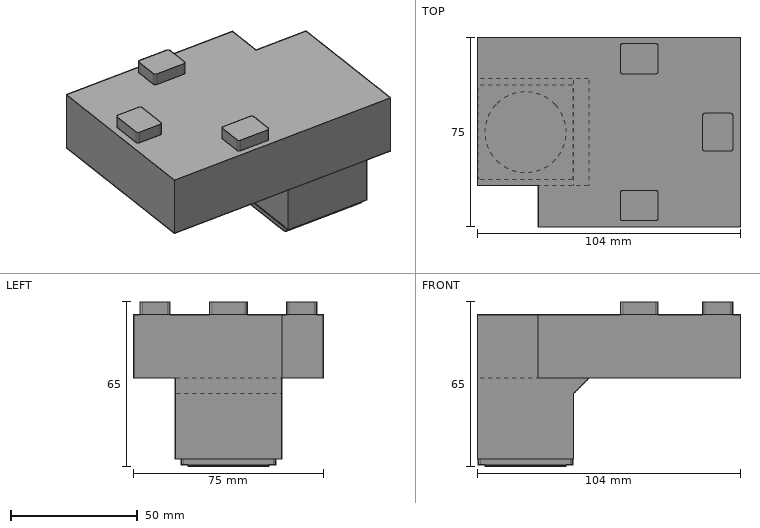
import cadquery as cq

block_length = 104.0
block_width = 75.0
block_height = 25.2

total_height = 65.0

column_length = 38.1
column_width = 42.2
column_height = 57.1
gusset_size = 6.0

notch_length = 24.0
notch_width = (block_width - column_width) / 2

foot_side = 37.4
foot_height = 2.3
disc_diameter = 32.0
disc_height = 0.6

pad_long = 15.0
pad_short = 12.0
pad_height = total_height - column_height - foot_height - disc_height
corner_radius = 0.99
side_pad_x = 64.0
side_pad_margin = 2.5
end_pad_margin = 3.0


def rounded_box(length, width, height, center, bottom):
    """Box with rounded vertical edges, standing on the given Z level."""
    return (
        cq.Workplane("XY", origin=(center[0], center[1], bottom))
        .rect(length, width)
        .extrude(height)
        .edges("|Z")
        .fillet(corner_radius)
    )


def make_block():
    block = cq.Workplane("XY").box(block_length, block_width, block_height, centered=(False, True, False))
    notch = cq.Workplane("XY").box(notch_length, notch_width, block_height, centered=False)
    notch = notch.translate((0, -block_width / 2, 0))
    return block.cut(notch).translate((0, 0, -block_height))


def make_column():
    """Column and its sloped gusset, drawn as a side profile."""
    profile = [
        (0, 0),
        (column_length + gusset_size, 0),
        (column_length + gusset_size, -block_height),
        (column_length, -block_height - gusset_size),
        (column_length, -column_height),
        (0, -column_height),
    ]
    return cq.Workplane("XZ").polyline(profile).close().extrude(column_width / 2, both=True)


def make_foot():
    center = (column_length / 2, 0)
    foot_bottom = -column_height - foot_height
    foot = rounded_box(foot_side, foot_side, foot_height, center, foot_bottom)
    disc = (
        cq.Workplane("XY", origin=(center[0], center[1], foot_bottom - disc_height))
        .circle(disc_diameter / 2)
        .extrude(disc_height)
    )
    return foot.union(disc)


result = make_block().union(make_column()).union(make_foot())

side_pad_y = block_width / 2 - side_pad_margin - pad_short / 2
for y in (-side_pad_y, side_pad_y):
    result = result.union(rounded_box(pad_long, pad_short, pad_height, (side_pad_x, y), 0))

end_pad_x = block_length - end_pad_margin - pad_short / 2
result = result.union(rounded_box(pad_short, pad_long, pad_height, (end_pad_x, 0), 0))